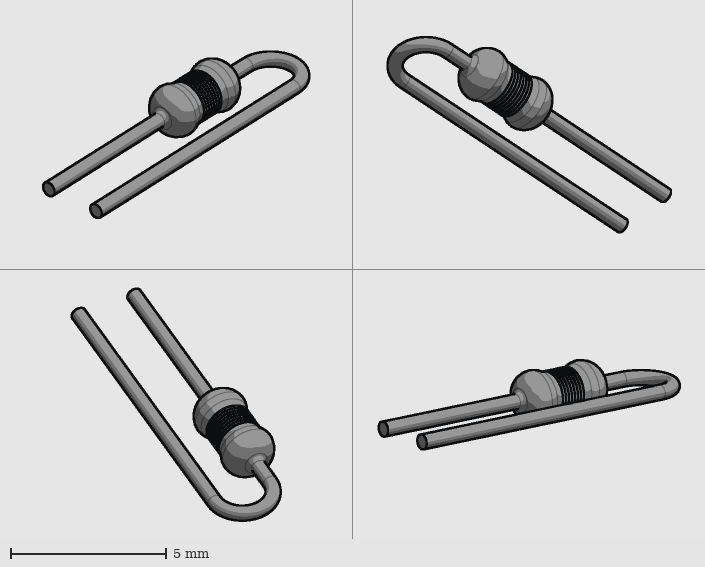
import cadquery as cq
import math


lead_diameter = 0.5
lead_pitch = 2.0
overall_length = 11.05
bend_top = 3.85
lead_radius = lead_diameter / 2
bend_radius = lead_pitch / 2
bend_start = bend_top - bend_radius - lead_radius
lead_end = bend_top - overall_length

bulge_radius = 1.8 / 2
waist_radius = 1.52 / 2
band_radius = 1.55 / 2
neck_radius = 0.4
neck_end = 1.77
neck_start = 1.6
bulge_peak = 0.97
waist_end = 0.43

band_count = 4
band_pitch = 2 * (2 * waist_end) / (2 * band_count - 1)
band_width = band_pitch / 2


def arc_middle(flat, steep):
    """Midpoint of the arc from flat to steep whose tangent at flat is parallel to the Y axis."""
    drop = flat[0] - steep[0]
    run = steep[1] - flat[1]
    radius = (drop**2 + run**2) / (2 * drop)
    half_angle = math.asin(run / radius) / 2
    sagitta = radius * (1 - math.cos(half_angle))
    return (flat[0] - sagitta, flat[1] + radius * math.sin(half_angle))


def make_body():
    neck_outer = (lead_radius, neck_end)
    neck_inner = (neck_radius, neck_start)
    peak = (bulge_radius, bulge_peak)
    shoulder = ((bulge_radius + waist_radius) / 2, (bulge_peak + waist_end) / 2)
    waist = (waist_radius, waist_end)
    arcs = [
        (neck_outer, arc_middle(neck_outer, neck_inner), neck_inner),
        (neck_inner, arc_middle(peak, neck_inner), peak),
        (peak, arc_middle(peak, shoulder), shoulder),
        (shoulder, arc_middle(waist, shoulder), waist),
    ]
    outline = cq.Workplane("XY").moveTo(0, neck_end).lineTo(*neck_outer)
    for _, middle, end in arcs:
        outline = outline.threePointArc(middle, end)
    outline = outline.lineTo(waist_radius, -waist_end)
    for start, middle, _ in reversed(arcs):
        outline = outline.threePointArc((middle[0], -middle[1]), (start[0], -start[1]))
    return outline.lineTo(0, -neck_end).close().revolve(360, (0, 0, 0), (0, 1, 0))


def y_cylinder(x, start, end, radius):
    return cq.Workplane("XZ", origin=(x, start, 0)).circle(radius).extrude(start - end)


def make_bend():
    section = cq.Workplane("XZ", origin=(0, bend_start, 0)).circle(lead_radius)
    path = (
        cq.Workplane("XY")
        .moveTo(0, bend_start)
        .threePointArc((bend_radius, bend_start + bend_radius), (lead_pitch, bend_start))
    )
    return section.sweep(path)


result = make_body()
for index in range(band_count):
    band_start = -waist_end + index * band_pitch
    result = result.union(y_cylinder(0, band_start, band_start + band_width, band_radius))

result = result.union(y_cylinder(0, lead_end, -neck_end, lead_radius))
result = result.union(y_cylinder(0, neck_end, bend_start, lead_radius))
result = result.union(make_bend())
result = result.union(y_cylinder(lead_pitch, lead_end, bend_start, lead_radius))